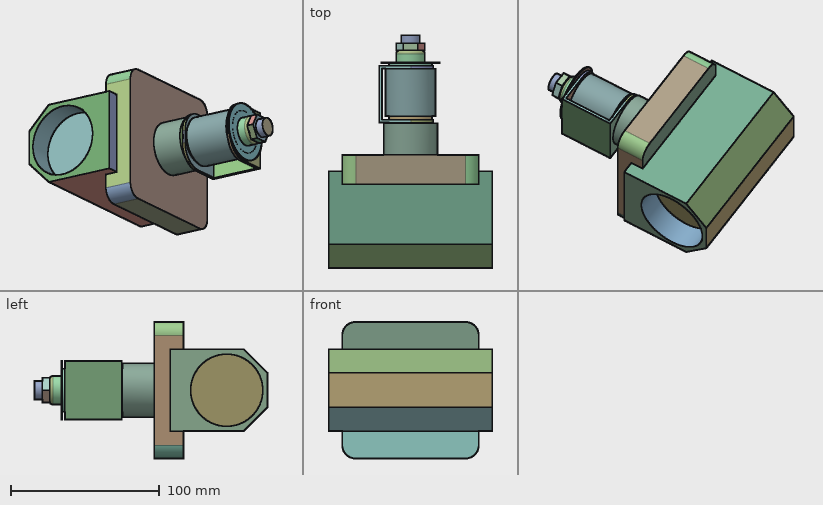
import cadquery as cq


block_length = 110.0
block_height = 55.2
block_depth = 65.4
block_chamfer = 16.0
port_diameter = 48.6
port_center_y = 27.5
port_depth = 17.9

plate_size = 92.0
plate_front_y = 56.5
plate_back_y = 76.4
plate_corner_radius = 9.1

stem_end_y = 97.7
coil_start_y = 102.4
coil_end_y = 134.4
disc_start_y = 138.0
disc_end_y = 138.8
collar_end_y = 146.6
hex_end_y = 151.5
tip_end_y = 156.8

stem_radius = 18.2
neck_radius = 14.6
coil_radius = 17.0
disc_radius = 19.8
collar_radius = 9.7
collar_fillet = 2.2
tip_radius = 6.3

bracket_start_y = 98.0
bracket_thickness = 2.0
bracket_end_y = coil_end_y + bracket_thickness
bracket_left_x = -21.2
bracket_right_x = 15.4
bracket_height = 2 * disc_radius


def plane_at(y):
    """Plane facing +Y, with local x along +X and local y along -Z."""
    return cq.Workplane(cq.Plane(origin=(0, y, 0), xDir=(1, 0, 0), normal=(0, 1, 0)))


def cylinder(radius, start_y, end_y):
    return plane_at(start_y).circle(radius).extrude(end_y - start_y)


def make_block():
    block = cq.Workplane("XY").box(block_length, block_depth, block_height)
    block = block.translate((0, block_depth / 2, 0))
    return block.faces("<Y").edges("|X").chamfer(block_chamfer)


def make_port(side):
    """Port cutter; side is -1 for the -X end and +1 for the +X end."""
    port = cq.Workplane("YZ", origin=(side * block_length / 2, 0, 0))
    return port.center(port_center_y, 0).circle(port_diameter / 2).extrude(-side * port_depth)


def make_plate():
    plate = plane_at(plate_front_y).rect(plate_size, plate_size).extrude(plate_back_y - plate_front_y)
    return plate.edges("|Y").fillet(plate_corner_radius)


def make_housing():
    housing = make_block()
    for side in (-1, 1):
        housing = housing.cut(make_port(side))
    return housing.union(make_plate())


def make_flange(start_y):
    """Bracket arm whose right corners are rounded from the actuator axis to the right end."""
    width = bracket_right_x - bracket_left_x
    center_x = (bracket_left_x + bracket_right_x) / 2
    flange = plane_at(start_y).center(center_x, 0).rect(width, bracket_height).extrude(bracket_thickness)
    return flange.edges("|Y and >X").fillet(bracket_right_x)


def make_bracket():
    length = bracket_end_y - bracket_start_y
    web = cq.Workplane("XY").box(bracket_thickness, length, bracket_height)
    web = web.translate((bracket_left_x + bracket_thickness / 2, bracket_start_y + length / 2, 0))
    return web.union(make_flange(bracket_start_y)).union(make_flange(coil_end_y))


def make_actuator():
    actuator = cylinder(stem_radius, plate_back_y, stem_end_y)
    actuator = actuator.union(cylinder(neck_radius, stem_end_y, disc_start_y))
    actuator = actuator.union(cylinder(coil_radius, coil_start_y, coil_end_y))
    actuator = actuator.union(cylinder(disc_radius, disc_start_y, disc_end_y))
    collar = cylinder(collar_radius, disc_end_y, collar_end_y).faces(">Y").edges().fillet(collar_fillet)
    hex_nut = plane_at(collar_end_y).polygon(6, 2 * collar_radius).extrude(hex_end_y - collar_end_y)
    actuator = actuator.union(collar).union(hex_nut)
    actuator = actuator.union(cylinder(tip_radius, hex_end_y, tip_end_y))
    return actuator.union(make_bracket())


housing = make_housing()
actuator = make_actuator()
result = cq.Compound.makeCompound([housing.val(), actuator.val()])